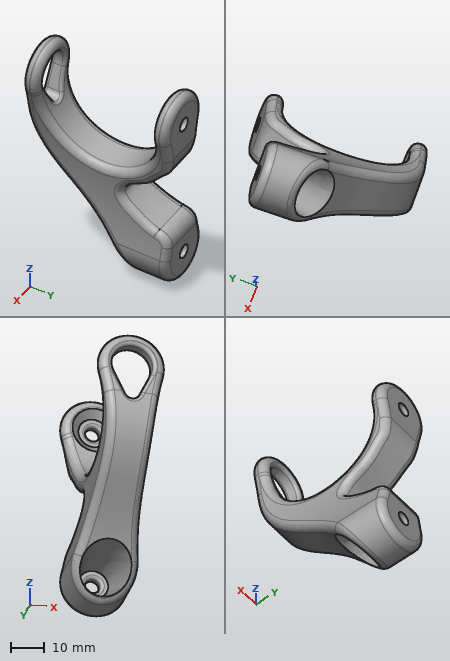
import cadquery as cq
import math

height = 70.0
width = 20.0
depth = 50.0
arm_thickness = 5.05

end_radius = width / 2
waist_half_width = 6.9
middle_z = height / 2
lower_z = end_radius
upper_z = height - end_radius

back_y = depth / 2
front_y = -back_y
cradle_radius = back_y - arm_thickness
cradle_z = 57.0
arm_bend_z = 50.7
trim_margin = 3.5
edge_radius = 2.45

screw_diameter = 4.5
seat_diameter = 9.0
seat_y = 22.4
screw_edge_radius = 1.05
upper_bowl_depth = 3.5
upper_bowl_radius = 8.0
lower_bowl_depth = 21.0
lower_bowl_radius = 9.25
lower_bowl_drop = 4.05
access_radius = 6.2
access_tip_radius = 2.45
access_tip_z = 51.4
access_edge_radius = 1.1


def make_outline():
    """Dog-bone outline, symmetric about the middle height, run through the depth."""
    half_pitch = upper_z - middle_z
    narrowing = end_radius - waist_half_width
    waist_x = (half_pitch**2 - narrowing**2) / (2 * narrowing)
    centre_distance = waist_x + narrowing
    touch_x = end_radius * waist_x / centre_distance
    touch_rise = half_pitch * (1 - end_radius / centre_distance)
    top = middle_z + touch_rise
    bottom = middle_z - touch_rise
    return (
        cq.Workplane("XZ", origin=(0, depth, 0))
        .moveTo(touch_x, bottom)
        .threePointArc((waist_half_width, middle_z), (touch_x, top))
        .threePointArc((0, height), (-touch_x, top))
        .threePointArc((-waist_half_width, middle_z), (-touch_x, bottom))
        .threePointArc((0, 0), (touch_x, bottom))
        .close()
        .extrude(2 * depth)
    )


def make_profile():
    """Side profile, run past both ends so that the outline trims it."""
    top = height + trim_margin
    bottom = -trim_margin
    return (
        cq.Workplane("YZ", origin=(-width, 0, 0))
        .moveTo(front_y, top)
        .lineTo(front_y, arm_bend_z)
        .spline(
            [(-20.65, 36.5), (-16.8, 31.8), (-8.4, 24.5), (0.0, 17.0), (5.6, 10.7), (13.7, 0)],
            tangents=[(0, -1), (0.6, -0.9)],
            includeCurrent=True,
        )
        .lineTo(back_y, bottom)
        .lineTo(back_y, 16.45)
        .threePointArc((23.65, 19.5), (20.3, 21.0))
        .spline(
            [(12.05, 24.85), (7.55, 29.75), (9.25, 32.7), (15.75, 36.55), (21.35, 42.15), (back_y, arm_bend_z)],
            tangents=[(-1, 0.3), (0.1, 1)],
            includeCurrent=True,
        )
        .lineTo(back_y, top)
        .lineTo(cradle_radius, top)
        .lineTo(cradle_radius, cradle_z)
        .threePointArc((0, cradle_z - cradle_radius), (-cradle_radius, cradle_z))
        .lineTo(-cradle_radius, top)
        .close()
        .extrude(2 * width)
    )


def bowl(centre_z, bowl_depth, mouth_radius, drop=0):
    """Flared recess from the screw seat to a mouth bowl_depth nearer the front, lowered by drop."""
    return (
        cq.Workplane("XZ", origin=(0, seat_y, centre_z))
        .circle(seat_diameter / 2)
        .workplane(offset=bowl_depth)
        .center(0, -drop)
        .circle(mouth_radius)
        .loft(ruled=True)
    )


def screw_hole(centre_z):
    """Hole from the seat through the back, with a rounded edge at the seat."""
    radius = screw_diameter / 2
    end_y = back_y + trim_margin
    arc_shift = screw_edge_radius * (1 - math.sqrt(0.5))
    return (
        cq.Workplane("XY", origin=(0, 0, centre_z))
        .moveTo(0, seat_y)
        .lineTo(radius + screw_edge_radius, seat_y)
        .threePointArc((radius + arc_shift, seat_y + arc_shift), (radius, seat_y + screw_edge_radius))
        .lineTo(radius, end_y)
        .lineTo(0, end_y)
        .close()
        .revolve(360, (0, 0, 0), (0, 1, 0))
    )


def access_hole():
    """Teardrop opening through the front arm: two circles joined by tangent lines."""
    spacing = upper_z - access_tip_z
    sine = (access_radius - access_tip_radius) / spacing
    cosine = math.sqrt(1 - sine**2)
    upper_x = access_radius * cosine
    upper_touch_z = upper_z - access_radius * sine
    tip_x = access_tip_radius * cosine
    tip_touch_z = access_tip_z - access_tip_radius * sine
    return (
        cq.Workplane("XZ")
        .moveTo(upper_x, upper_touch_z)
        .threePointArc((0, upper_z + access_radius), (-upper_x, upper_touch_z))
        .lineTo(-tip_x, tip_touch_z)
        .threePointArc((0, access_tip_z - access_tip_radius), (tip_x, tip_touch_z))
        .close()
        .extrude(depth)
    )


def is_access_rim(edge):
    """True for edges on the rims of the access hole."""
    box = edge.BoundingBox()
    slack = 0.1
    return (
        box.ymax < 0
        and box.xmax < access_radius + slack
        and box.xmin > -access_radius - slack
        and box.zmin > access_tip_z - access_tip_radius - slack
        and box.zmax < upper_z + access_radius + slack
    )


body = make_outline().intersect(make_profile())
body = body.edges("not(|X or |Y)").fillet(edge_radius)

body = body.cut(access_hole())
body = body.edges("not(|X or |Y)").filter(is_access_rim).fillet(access_edge_radius)

body = body.cut(bowl(upper_z, upper_bowl_depth, upper_bowl_radius))
body = body.cut(bowl(lower_z, lower_bowl_depth, lower_bowl_radius, lower_bowl_drop))
for hole_z in (lower_z, upper_z):
    body = body.cut(screw_hole(hole_z))

result = body